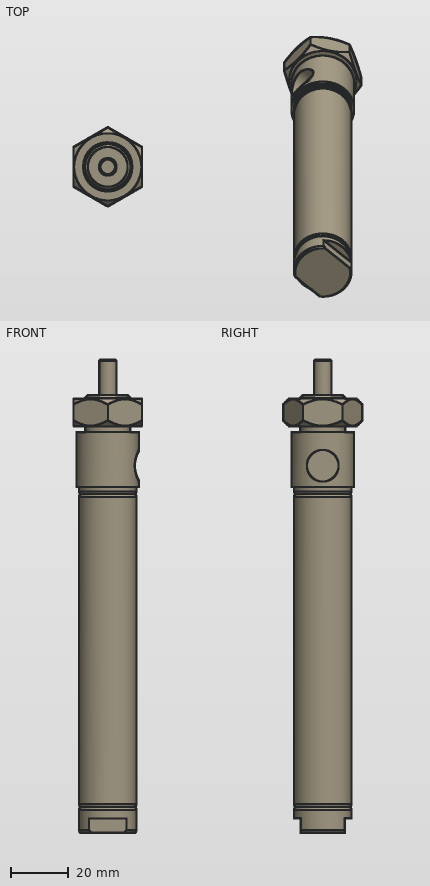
import cadquery as cq
import math

total_height = 164.3
thread_top = 152.0
nut_top = 150.9
nut_height = 9.7
head_top = 139.2
head_bottom = 120.1
upper_groove_z = 117.7
lower_groove_z = 9.0

rod_diameter = 6.0
thread_diameter = 15.8
head_diameter = 21.9
tube_diameter = 20.0

rod_chamfer = 0.5
rod_depth = 16.5

thread_chamfer = 1.0
groove_half_width = 1.0
groove_depth = 0.3
bottom_chamfer_radial = 0.5
bottom_chamfer_height = 1.0
port_diameter = 11.0
port_floor_x = 6.5
port_z = 127.5
flat_width = 15.3
flat_height = 5.1

nut_across_flats = 23.8
nut_chamfer_diameter = 23.3
nut_chamfer_angle = 45.0
nut_bore_chamfer = 0.7


def cylinder(diameter, bottom, top):
    """Solid cylinder on the Z axis between two heights."""
    return cq.Workplane("XY").workplane(offset=bottom).circle(diameter / 2).extrude(top - bottom)


def v_groove(z):
    """Ring with a V section, centred on height z, that cuts into the tube."""
    radius = tube_diameter / 2
    return (
        cq.Workplane("XZ")
        .moveTo(radius, z - groove_half_width)
        .lineTo(radius - groove_depth, z)
        .lineTo(radius, z + groove_half_width)
        .close()
        .revolve(360, (0, 0, 0), (0, 1, 0))
    )


def wrench_flats(body):
    """Cut two parallel flats, facing -Y and +Y, at the closed end."""
    cut_depth = (tube_diameter - flat_width) / 2
    for side in (-1, 1):
        cutter = (
            cq.Workplane("XY")
            .center(0, side * (flat_width + cut_depth) / 2)
            .rect(tube_diameter, cut_depth)
            .extrude(flat_height)
        )
        body = body.cut(cutter)
    return body


def make_rod():
    rod = cylinder(rod_diameter, thread_top - rod_depth, total_height)
    return rod.faces(">Z").chamfer(rod_chamfer)


def make_housing():
    tube = cylinder(tube_diameter, 0, head_bottom)
    tube = tube.faces("<Z").edges().chamfer(bottom_chamfer_height, bottom_chamfer_radial)
    for z in (lower_groove_z, upper_groove_z):
        tube = tube.cut(v_groove(z))
    tube = wrench_flats(tube)

    head = cylinder(head_diameter, head_bottom, head_top)
    thread = cylinder(thread_diameter, head_top, thread_top).faces(">Z").chamfer(thread_chamfer)
    housing = tube.union(head).union(thread)

    port = (
        cq.Workplane("YZ", origin=(port_floor_x, 0, port_z))
        .circle(port_diameter / 2)
        .extrude(head_diameter / 2 - port_floor_x)
    )
    rod_socket = cylinder(rod_diameter, thread_top - rod_depth, thread_top)
    return housing.cut(port).cut(rod_socket)


def make_nut():
    """Hexagonal nut with flats facing -X and +X and both rims chamfered."""
    nut_bottom = nut_top - nut_height
    across_corners = nut_across_flats / math.cos(math.radians(30))
    hexagon = (
        cq.Workplane("XY")
        .workplane(offset=nut_bottom)
        .transformed(rotate=(0, 0, 90))
        .polygon(6, across_corners)
        .extrude(nut_height)
    )

    rim_radius = nut_chamfer_diameter / 2
    corner_radius = across_corners / 2
    corner_drop = (corner_radius - rim_radius) * math.tan(math.radians(nut_chamfer_angle))
    envelope = (
        cq.Workplane("XZ")
        .moveTo(0, nut_bottom)
        .lineTo(rim_radius, nut_bottom)
        .lineTo(corner_radius, nut_bottom + corner_drop)
        .lineTo(corner_radius, nut_top - corner_drop)
        .lineTo(rim_radius, nut_top)
        .lineTo(0, nut_top)
        .close()
        .revolve(360, (0, 0, 0), (0, 1, 0))
    )
    bore = cylinder(thread_diameter, nut_bottom, nut_top)
    nut = hexagon.intersect(envelope).cut(bore)
    bore_rims = nut.edges(cq.selectors.RadiusNthSelector(0))
    return bore_rims.chamfer(nut_bore_chamfer)


rod = make_rod()
housing = make_housing()
nut = make_nut()

result = cq.Compound.makeCompound([housing.val(), rod.val(), nut.val()])